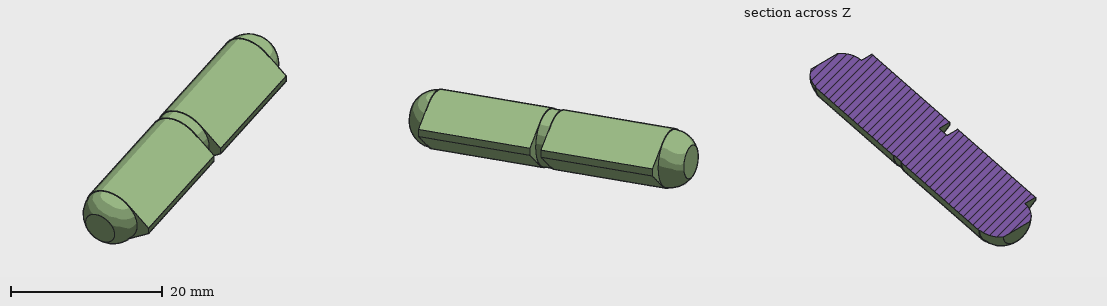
import cadquery as cq
import math

total_length = 40.0
body_diameter = 8.0
neck_diameter = 7.8
washer_thickness = 1.6
dome_length = 2.95
end_flat_diameter = 4.5
fin_reach = 5.7
fin_tip_height = 1.0

body_radius = body_diameter / 2
neck_radius = neck_diameter / 2
end_flat_radius = end_flat_diameter / 2
half_length = total_length / 2
half_washer = washer_thickness / 2
dome_base_y = half_length - dome_length


def knuckle_body():
    """Teardrop prism on the +Y side: round barrel and weld fin with tangent flanks."""
    half_tip = fin_tip_height / 2
    tip_distance = math.hypot(fin_reach, half_tip)
    tangent_angle = math.atan2(half_tip, fin_reach) + math.acos(body_radius / tip_distance)
    tangent_x = body_radius * math.cos(tangent_angle)
    tangent_z = body_radius * math.sin(tangent_angle)
    return (
        cq.Workplane("XZ", origin=(0, half_washer, 0))
        .moveTo(tangent_x, tangent_z)
        .lineTo(fin_reach, half_tip)
        .lineTo(fin_reach, -half_tip)
        .lineTo(tangent_x, -tangent_z)
        .threePointArc((-body_radius, 0), (tangent_x, tangent_z))
        .close()
        .extrude(half_washer - dome_base_y)
    )


def end_dome():
    """Revolved dome on the +Y end, parallel to the axis at its base and cut flat at its end."""
    drop = neck_radius - end_flat_radius
    dome_radius = (drop**2 + dome_length**2) / (2 * drop)
    half_sweep = math.asin(dome_length / dome_radius) / 2
    arc_center_x = neck_radius - dome_radius
    dome_middle = (
        arc_center_x + dome_radius * math.cos(half_sweep),
        dome_base_y + dome_radius * math.sin(half_sweep),
    )
    return (
        cq.Workplane("XY")
        .moveTo(0, dome_base_y)
        .lineTo(neck_radius, dome_base_y)
        .threePointArc(dome_middle, (end_flat_radius, half_length))
        .lineTo(0, half_length)
        .close()
        .revolve(360, (0, 0, 0), (0, 1, 0))
    )


def washer():
    """Spacer disc between the two knuckles."""
    return (
        cq.Workplane("XZ")
        .circle(neck_radius)
        .extrude(half_washer, both=True)
    )


knuckle = knuckle_body().union(end_dome())
result = washer().union(knuckle).union(knuckle.mirror("XZ"))